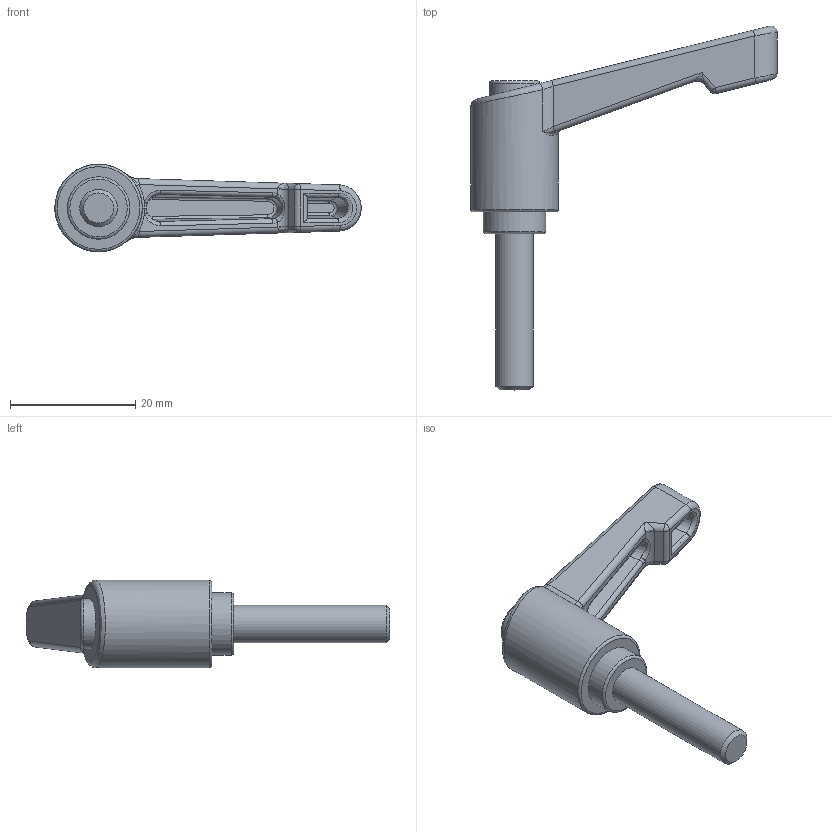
import math

import cadquery as cq

STUD_RADIUS = 3.0
STUD_LENGTH = 25.0
STUD_CHAMFER = 0.6
COLLAR_RADIUS = 5.0
COLLAR_HEIGHT = 3.5
HUB_RADIUS = 7.0
TURNED_EDGE_FILLET = 0.4
BUTTON_RADIUS = 4.0
BUTTON_TOP = 24.45

TOP_AT_AXIS = 23.01
TOP_ANGLE = math.radians(14.0)
UNDERSIDE_ANGLE = math.radians(20.0)
UNDERSIDE_AT_AXIS = 13.87
GRIP_THICKNESS = 8.4
STEP_TOP_X = 29.65
STEP_BOTTOM_X = 31.7
STEP_ROOT_FILLET = 1.5
STEP_NOSE_FILLET = 1.0
REACH = 42.0
TIP_RADIUS = 3.7
SIDE_TAPER = math.radians(1.78)
HUB_BLEND_RADIUS = 2.7
HUB_ROOT_FILLET = 0.6
ARM_FILLET = 0.95

WEB_THICKNESS = 2.5
POCKET_DRAFT = math.radians(5.0)
POCKET_FLOOR_FILLET = 0.45
POCKET_RIM_FILLET = 0.7
ARM_POCKET_START = 8.2
ARM_POCKET_END = 27.2
ARM_POCKET_START_RADIUS = 1.75
ARM_POCKET_END_RADIUS = 1.5
GRIP_POCKET_START = 32.9
GRIP_POCKET_END = 37.4
GRIP_POCKET_HALF_WIDTH = 1.2

TIP_CENTRE_X = REACH - TIP_RADIUS

TOP_ALONG = cq.Vector(math.cos(TOP_ANGLE), math.sin(TOP_ANGLE), 0)
TOP_NORMAL = cq.Vector(-math.sin(TOP_ANGLE), math.cos(TOP_ANGLE), 0)

MARGIN = 5.0

ARM_START_X = HUB_RADIUS + 0.2
POCKET_RIM_LIMIT = 2.5
POCKET_RIM_LIFT = 0.15


def top_y(x):
    """Height of the sloping top face at x."""
    return TOP_AT_AXIS + x * math.tan(TOP_ANGLE)


def underside_y(x):
    """Height of the arm underside between hub and step."""
    return UNDERSIDE_AT_AXIS + x * math.tan(UNDERSIDE_ANGLE)


def grip_y(x):
    """Height of the grip underside, which is parallel to the top face."""
    return top_y(x) - GRIP_THICKNESS / math.cos(TOP_ANGLE)


def cylinder(radius, y_start, y_end):
    """Cylinder about the Y axis."""
    return cq.Workplane("XZ", origin=(0, y_start, 0)).circle(radius).extrude(y_start - y_end)


def arm_side_profile():
    """Side outline of the arm in the XY plane, extruded across the full hub width."""
    far_x = REACH + MARGIN
    outline = [
        (0, top_y(0)),
        (far_x, top_y(far_x)),
        (far_x, grip_y(far_x)),
        (STEP_BOTTOM_X, grip_y(STEP_BOTTOM_X)),
        (STEP_TOP_X, underside_y(STEP_TOP_X)),
        (0, underside_y(0)),
    ]
    profile = cq.Workplane("XY").polyline(outline).close().extrude(HUB_RADIUS, both=True)
    nose = cq.selectors.NearestToPointSelector((STEP_BOTTOM_X, grip_y(STEP_BOTTOM_X), 0))
    return profile.edges("|Z").edges(nose).fillet(STEP_NOSE_FILLET)


def arm_plan():
    """Tapered arm in the XZ plane: round tip, and concave blends tangent to the hub."""
    sin_t, cos_t = math.sin(SIDE_TAPER), math.cos(SIDE_TAPER)
    side_distance = TIP_CENTRE_X * sin_t + TIP_RADIUS
    centre_distance = HUB_RADIUS + HUB_BLEND_RADIUS
    centre_offset = side_distance + HUB_BLEND_RADIUS
    along = math.sqrt(centre_distance**2 - centre_offset**2)
    centre_x = centre_offset * sin_t + along * cos_t
    centre_z = centre_offset * cos_t - along * sin_t

    side_angle = math.atan2(-cos_t, -sin_t)
    hub_angle = math.atan2(-centre_z, -centre_x)

    def blend_point(angle):
        return (centre_x + HUB_BLEND_RADIUS * math.cos(angle), centre_z + HUB_BLEND_RADIUS * math.sin(angle))

    def mirrored(point):
        return (point[0], -point[1])

    on_hub = blend_point(hub_angle)
    middle = blend_point((hub_angle + side_angle) / 2)
    on_side = blend_point(side_angle)
    at_tip = (TIP_CENTRE_X + TIP_RADIUS * sin_t, TIP_RADIUS * cos_t)
    return (
        cq.Workplane("XZ")
        .moveTo(0, 0)
        .lineTo(*on_hub)
        .threePointArc(middle, on_side)
        .lineTo(*at_tip)
        .threePointArc((REACH, 0), mirrored(at_tip))
        .lineTo(*mirrored(on_side))
        .threePointArc(mirrored(middle), mirrored(on_hub))
        .close()
        .extrude(-top_y(REACH + MARGIN))
    )


def is_underside_rim(edge):
    """True for edges along the arm's underside outline, below the middle of its side faces."""
    centre = edge.Center()
    middle_y = (top_y(centre.x) + max(underside_y(centre.x), grip_y(centre.x))) / 2
    return centre.x > ARM_START_X and centre.y < middle_y - ARM_FILLET


def is_hub_root(edge):
    """True for edges where the arm underside meets the hub wall."""
    return edge.Center().x < HUB_RADIUS


def handle_body():
    """Hub and arm under one sloping top face, with rounded arm and top edges."""
    hub = cylinder(HUB_RADIUS, COLLAR_HEIGHT, top_y(HUB_RADIUS) + MARGIN)
    above_top = (
        cq.Workplane("XY")
        .polyline([
            (-REACH, top_y(-REACH)),
            (REACH, top_y(REACH)),
            (-REACH, top_y(REACH)),
        ])
        .close()
        .extrude(2 * HUB_RADIUS, both=True)
    )
    body = hub.cut(above_top).union(arm_plan().intersect(arm_side_profile())).clean()
    body = body.faces(cq.selectors.ParallelDirSelector(TOP_NORMAL)).faces(">Y").edges().fillet(ARM_FILLET)
    body = body.edges("not |Z").filter(is_underside_rim).fillet(ARM_FILLET)
    root = cq.selectors.NearestToPointSelector((STEP_TOP_X, underside_y(STEP_TOP_X), 0))
    body = body.edges("|Z").edges(root).fillet(STEP_ROOT_FILLET)
    return body.edges("%ELLIPSE").filter(is_hub_root).fillet(HUB_ROOT_FILLET)


def pocket(outline):
    """Drafted cutter standing on the web, with a rounded floor; outline(plane, growth) draws a section."""
    down = -TOP_NORMAL
    floor_origin = cq.Vector(0, TOP_AT_AXIS, 0) + down * WEB_THICKNESS
    growth = GRIP_THICKNESS * math.tan(POCKET_DRAFT)
    floor = outline(cq.Workplane(cq.Plane(floor_origin, TOP_ALONG, down)), 0)
    cutter = outline(floor.workplane(offset=GRIP_THICKNESS), growth).loft(ruled=True)
    floor_face = cutter.faces(cq.selectors.DirectionMinMaxSelector(down, directionMax=False))
    return floor_face.edges().fillet(POCKET_FLOOR_FILLET)


def arm_pocket_outline(plane, growth):
    """Tapered slot: two end arcs joined by their common tangents."""
    start, end = ARM_POCKET_START, ARM_POCKET_END
    start_r = ARM_POCKET_START_RADIUS + growth
    end_r = ARM_POCKET_END_RADIUS + growth
    taper = math.asin((start_r - end_r) / (end - start))
    start_x = start + start_r * math.sin(taper)
    start_z = start_r * math.cos(taper)
    end_x = end + end_r * math.sin(taper)
    end_z = end_r * math.cos(taper)
    return (
        plane
        .moveTo(start_x, -start_z)
        .lineTo(end_x, -end_z)
        .threePointArc((end + end_r, 0), (end_x, end_z))
        .lineTo(start_x, start_z)
        .threePointArc((start - start_r, 0), (start_x, -start_z))
        .close()
    )


def grip_pocket_outline(plane, growth):
    """Slot with a square end by the step and a round end at the tip."""
    half_width = GRIP_POCKET_HALF_WIDTH + growth
    start = GRIP_POCKET_START - growth
    return (
        plane
        .moveTo(start, -half_width)
        .lineTo(GRIP_POCKET_END, -half_width)
        .threePointArc((GRIP_POCKET_END + half_width, 0), (GRIP_POCKET_END, half_width))
        .lineTo(start, half_width)
        .close()
    )


def is_arm_pocket_rim(edge):
    """True for the edges where the arm pocket opens through the underside and the step root."""
    centre = edge.positionAt(0.5)
    within_opening = ARM_START_X < centre.x < STEP_BOTTOM_X and abs(centre.z) < POCKET_RIM_LIMIT
    on_underside = centre.y < underside_y(centre.x) + POCKET_RIM_LIFT
    return within_opening and on_underside


def add_pockets(body):
    """Cut both pockets and round their rims."""
    body = body.cut(pocket(arm_pocket_outline)).cut(pocket(grip_pocket_outline))
    body = body.edges("not |Z").filter(is_arm_pocket_rim).fillet(POCKET_RIM_FILLET)
    grip_middle_x = (STEP_BOTTOM_X + REACH) / 2
    grip_selector = cq.selectors.NearestToPointSelector((grip_middle_x, grip_y(grip_middle_x), 0))
    grip_face = body.faces("%PLANE").faces(grip_selector).val()
    return body.newObject(grip_face.innerWires()).edges().fillet(POCKET_RIM_FILLET)


def turned_parts():
    """Collar, stud and push button, joined inside the hub."""
    collar = cylinder(COLLAR_RADIUS, 0, COLLAR_HEIGHT + MARGIN).faces("<Y").edges().fillet(TURNED_EDGE_FILLET)
    stud = cylinder(STUD_RADIUS, -STUD_LENGTH, MARGIN).faces("<Y").edges().chamfer(STUD_CHAMFER)
    button = cylinder(BUTTON_RADIUS, COLLAR_HEIGHT + MARGIN, BUTTON_TOP)
    button = button.faces(">Y").edges().fillet(TURNED_EDGE_FILLET)
    return collar.union(stud).union(button)


handle = add_pockets(handle_body())
handle = handle.faces("<Y").edges().fillet(TURNED_EDGE_FILLET)
result = handle.union(turned_parts())